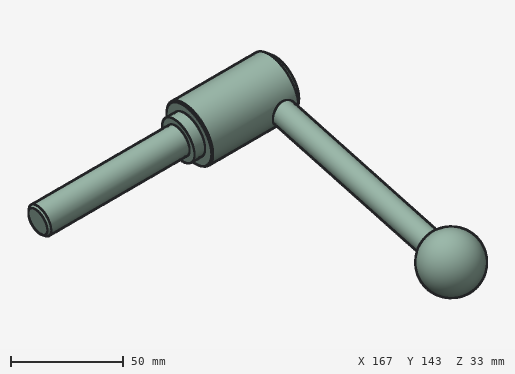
import cadquery as cq
import math

hub_diameter = 33.0
hub_length = 52.0
hub_top_chamfer = 3.0
hub_bottom_chamfer = 0.6

collar_diameter = 23.0
collar_length = 6.0
stud_diameter = 16.0
stud_length = 80.0
stud_chamfer = 1.25

rod_diameter = 13.0
rod_offset_from_top = 11.0
ball_diameter = 32.0
ball_center_x = 134.5
ball_flat_distance = 12.8

rod_y = hub_length - rod_offset_from_top


def cylinder_along_y(diameter, start_y, length):
    """Cylinder on the Y axis running from start_y toward +Y."""
    plane = cq.Workplane("XZ", origin=(0, start_y, 0))
    return plane.circle(diameter / 2).extrude(-length)


def make_hub():
    hub = cylinder_along_y(hub_diameter, 0, hub_length)
    hub = hub.faces(">Y").chamfer(hub_top_chamfer)
    return hub.faces("<Y").chamfer(hub_bottom_chamfer)


def make_collar():
    return cylinder_along_y(collar_diameter, -collar_length, collar_length)


def make_stud():
    stud = cylinder_along_y(stud_diameter, -collar_length - stud_length, stud_length)
    return stud.faces("<Y").chamfer(stud_chamfer)


def make_rod():
    """Rod from the hub axis to the centre of the ball."""
    plane = cq.Workplane("YZ", origin=(0, rod_y, 0))
    return plane.circle(rod_diameter / 2).extrude(ball_center_x)


def make_ball():
    """Ball knob turned about the rod axis, with a flat face where the rod enters."""
    ball_radius = ball_diameter / 2
    flat_radius = math.sqrt(ball_radius**2 - ball_flat_distance**2)
    profile = (
        cq.Workplane("XY", origin=(ball_center_x, rod_y, 0))
        .moveTo(-ball_flat_distance, 0)
        .lineTo(-ball_flat_distance, flat_radius)
        .threePointArc((0, ball_radius), (ball_radius, 0))
        .close()
    )
    return profile.revolve(360, (0, 0, 0), (1, 0, 0))


result = make_hub().union(make_collar()).union(make_stud()).union(make_rod()).union(make_ball())